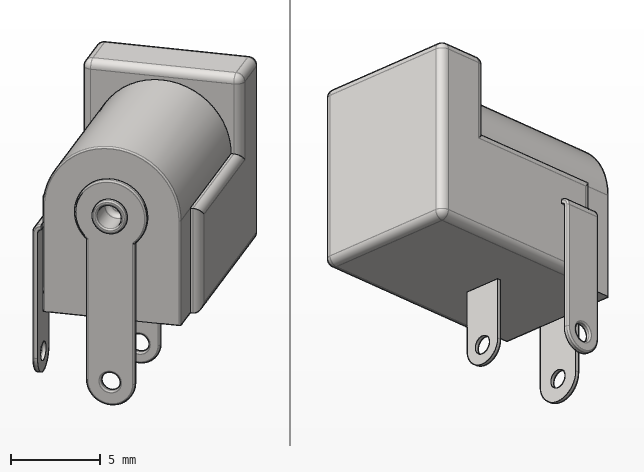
import cadquery as cq


housing_width = 9.3
housing_height = 11.0
flange_depth = 3.4
shoulder_depth = 11.9
housing_fillet = 0.5
axis_z = 6.3

barrel_radius = 4.0
barrel_depth = 13.9
barrel_edge_fillet = 0.1

sheet_thickness = 0.3
sheet_edge_fillet = 0.1
solder_hole_radius = 0.55
solder_hole_z = -3.7
front_tab_radius = 1.4
front_head_radius = 2.1
small_tab_radius = 1.2
centre_tab_y = -8.2
centre_tab_embed = 0.6
side_tab_gap = 0.2
side_tab_top_z = 4.35

rivet_radius = 1.0
rivet_height = 0.3
rivet_edge_fillet = 0.1
rivet_bore_radius = 0.7
rivet_bore_depth = 2.0
rivet_bore_fillet = 0.3


def along_barrel(y):
    """Workplane facing -Y at depth y: local x = X, local y = Z."""
    return cq.Workplane("XZ", origin=(0, y, 0))


def make_housing():
    """L-shaped block: tall rear flange and a lower shoulder, with rounded edges."""
    profile = [
        (0, 0),
        (0, housing_height),
        (-flange_depth, housing_height),
        (-flange_depth, axis_z),
        (-shoulder_depth, axis_z),
        (-shoulder_depth, 0),
    ]
    block = cq.Workplane("YZ").polyline(profile).close().extrude(housing_width / 2, both=True)
    side_edges = block.faces("<X or >X").edges()
    top_edges = block.faces(">Z").edges("|X")
    rear_bottom_edge = block.faces("<Z").edges(">Y")
    rounded_edges = side_edges.add(top_edges).add(rear_bottom_edge)
    return block.newObject(rounded_edges.vals()).fillet(housing_fillet)


def make_barrel():
    """Half-round barrel whose straight flanks run down to the underside."""
    barrel = (
        along_barrel(-flange_depth / 2)
        .moveTo(-barrel_radius, 0)
        .lineTo(-barrel_radius, axis_z)
        .threePointArc((0, axis_z + barrel_radius), (barrel_radius, axis_z))
        .lineTo(barrel_radius, 0)
        .close()
        .extrude(barrel_depth - flange_depth / 2)
    )
    end_edges = barrel.faces("<Y").edges("not <Z")
    return barrel.newObject(end_edges.vals()).fillet(barrel_edge_fillet)


def make_tab(plane, radius, top_z):
    """Flat solder tab with a round, drilled lower end, extruded along the plane normal."""
    return (
        plane.moveTo(-radius, top_z)
        .lineTo(-radius, solder_hole_z)
        .threePointArc((0, solder_hole_z - radius), (radius, solder_hole_z))
        .lineTo(radius, top_z)
        .close()
        .moveTo(0, solder_hole_z)
        .circle(solder_hole_radius)
        .extrude(sheet_thickness)
    )


def make_front_terminal():
    """Tab with a round head, lying on the end of the barrel."""
    plane = along_barrel(-barrel_depth)
    head = plane.center(0, axis_z).circle(front_head_radius).extrude(sheet_thickness)
    tab = make_tab(plane, front_tab_radius, axis_z).union(head).clean()
    return tab.faces("<Y").edges().fillet(sheet_edge_fillet)


def make_centre_terminal():
    """Plain tab leaving the underside of the housing."""
    plane = along_barrel(centre_tab_y + sheet_thickness)
    tab = make_tab(plane, small_tab_radius, centre_tab_embed)
    return tab.faces("<Y").edges("not >Z").fillet(sheet_edge_fillet)


def make_side_terminal():
    """Tab beside the housing, bent over at the top to meet the -X wall."""
    centre_y = small_tab_radius - shoulder_depth
    wall_x = -housing_width / 2
    inner_x = wall_x - side_tab_gap
    outer_x = inner_x - sheet_thickness
    bend_outer_radius = side_tab_gap + sheet_thickness
    bend_z = side_tab_top_z - bend_outer_radius
    plane = cq.Workplane(cq.Plane((inner_x, centre_y, 0), (0, -1, 0), (-1, 0, 0)))
    tab = make_tab(plane, small_tab_radius, bend_z)
    bend = (
        along_barrel(centre_y + small_tab_radius)
        .moveTo(outer_x, bend_z)
        .radiusArc((wall_x, side_tab_top_z), bend_outer_radius)
        .lineTo(wall_x, side_tab_top_z - sheet_thickness)
        .radiusArc((inner_x, bend_z), -side_tab_gap)
        .close()
        .extrude(2 * small_tab_radius)
    )
    tab = tab.union(bend).clean()
    return tab.faces("<X").edges("not >Z").fillet(sheet_edge_fillet)


def make_rivet():
    """Hollow rivet head on the front terminal, rounded on its outer and inner rims."""
    head = (
        along_barrel(-barrel_depth)
        .center(0, axis_z)
        .circle(rivet_radius)
        .circle(rivet_bore_radius)
        .extrude(sheet_thickness + rivet_height)
    )
    return head.faces("<Y").edges().fillet(rivet_edge_fillet)


def make_rivet_bore():
    """Blind bore in the rivet with a rounded bottom."""
    rivet_face_y = -barrel_depth - sheet_thickness - rivet_height
    bore = (
        along_barrel(rivet_face_y + rivet_bore_depth)
        .center(0, axis_z)
        .circle(rivet_bore_radius)
        .extrude(rivet_bore_depth)
    )
    return bore.faces(">Y").edges().fillet(rivet_bore_fillet)


result = (
    make_housing()
    .union(make_barrel())
    .union(make_front_terminal())
    .union(make_centre_terminal())
    .union(make_side_terminal())
    .union(make_rivet())
    .cut(make_rivet_bore())
)